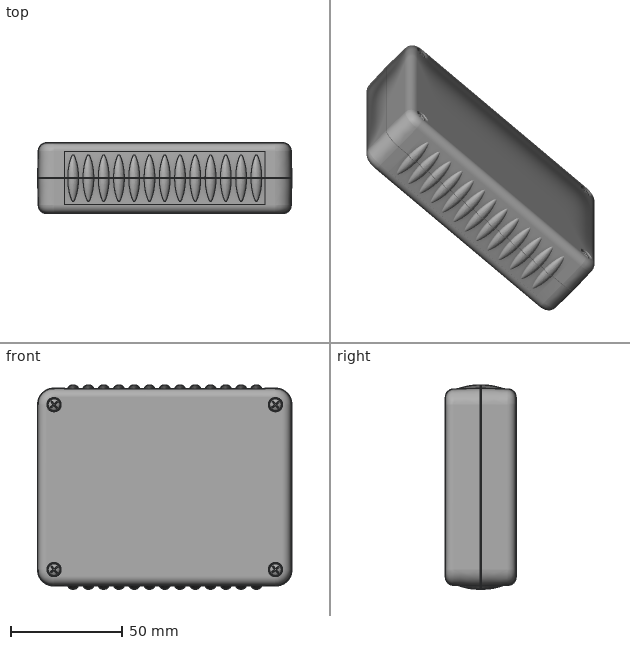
import cadquery as cq
import math

LENGTH = 114.6
HEIGHT = 89.2
DEPTH = 32.0
DRAFT = 1.5
CORNER_RADIUS = 7.5
EDGE_RADIUS = 3.9
PARTING_GAP = 0.2
SHELL_DEPTH = (DEPTH - PARTING_GAP) / 2

PANEL_LENGTH = 90.1
PANEL_DEPTH = 23.6
PANEL_SINK = 0.1

RIB_COUNT = 13
RIB_PITCH = 6.9
RIB_CREST = 46.1
RIB_RADIUS = 2.6
RIB_ARC_RADIUS = 29.8
RIB_AXIS = RIB_CREST - RIB_RADIUS
RIB_HALF_LENGTH = math.sqrt(RIB_ARC_RADIUS**2 - (RIB_ARC_RADIUS - RIB_RADIUS)**2)

SCREW_X = LENGTH / 2 - CORNER_RADIUS
SCREW_Z = HEIGHT / 2 - CORNER_RADIUS
SCREW_SPOTS = [(x, z) for x in (-SCREW_X, SCREW_X) for z in (-SCREW_Z, SCREW_Z)]
HOLE_RADIUS = 3.2
FLOOR_RADIUS = 2.8
HEAD_RADIUS = 2.6
HEAD_DOME = 0.9
HEAD_RIM = 0.5
HEAD_SINK = 0.1
SLOT_LENGTH = 3.9
SLOT_WIDTH = 0.6
SLOT_DEPTH = 0.9
SLOT_ANGLE = 40.0
HEAD_HEIGHT = HEAD_RIM + HEAD_DOME
HOLE_DEPTH = HEAD_SINK + HEAD_HEIGHT


def drafted_block(inset):
    """Half housing on the -Y side, with its four walls moved inward by inset."""
    outline = (
        cq.Sketch()
        .rect(LENGTH - 2 * inset, HEIGHT - 2 * inset)
        .vertices()
        .fillet(CORNER_RADIUS - inset)
    )
    return cq.Workplane("XZ").placeSketch(outline).extrude(SHELL_DEPTH, taper=DRAFT)


def grip_recess():
    """Material to remove so that both grip panels lie below the drafted walls."""
    field = cq.Workplane("XY").box(PANEL_LENGTH, PANEL_DEPTH, 2 * RIB_CREST)
    return field.cut(drafted_block(PANEL_SINK)).intersect(drafted_block(0))


def half_rib():
    """Half of a spindle along Y, from the parting face to its pointed end."""
    mid_y = RIB_HALF_LENGTH / 2
    mid_radius = RIB_RADIUS - RIB_ARC_RADIUS + math.sqrt(RIB_ARC_RADIUS**2 - mid_y**2)
    return (
        cq.Workplane("XY")
        .lineTo(RIB_RADIUS, 0)
        .threePointArc((mid_radius, -mid_y), (0, -RIB_HALF_LENGTH))
        .close()
        .revolve(360, (0, 0, 0), (0, 1, 0))
    )


def half_shell():
    """Half housing on the -Y side with rounded outer edges, panels and ribs."""
    shell = drafted_block(0).faces("<Y").edges().fillet(EDGE_RADIUS)
    shell = shell.cut(grip_recess())
    rib = half_rib()
    for i in range(RIB_COUNT):
        x = (i - (RIB_COUNT - 1) / 2) * RIB_PITCH
        for z in (-RIB_AXIS, RIB_AXIS):
            shell = shell.union(rib.translate((x, 0, z)))
    return shell


def screw_holes():
    """Conical holes in the front face, narrowing from the mouth to the floor."""
    draft = math.degrees(math.atan((HOLE_RADIUS - FLOOR_RADIUS) / HOLE_DEPTH))
    return (
        cq.Workplane("XZ", origin=(0, -SHELL_DEPTH, 0))
        .pushPoints(SCREW_SPOTS)
        .circle(HOLE_RADIUS)
        .extrude(-HOLE_DEPTH, taper=draft)
    )


def screw(x, z):
    """Domed screw head with a cross slot, its base on the floor of its hole."""
    dome_radius = (HEAD_RADIUS**2 + HEAD_DOME**2) / (2 * HEAD_DOME)
    mid_x = HEAD_RADIUS / 2
    mid_drop = dome_radius - math.sqrt(dome_radius**2 - mid_x**2)
    head = (
        cq.Workplane("XY")
        .lineTo(HEAD_RADIUS, 0)
        .lineTo(HEAD_RADIUS, -HEAD_RIM)
        .threePointArc((mid_x, mid_drop - HEAD_HEIGHT), (0, -HEAD_HEIGHT))
        .close()
        .revolve(360, (0, 0, 0), (0, 1, 0))
    )
    for angle in (SLOT_ANGLE, SLOT_ANGLE + 90):
        slot = (
            cq.Workplane("XZ", origin=(0, -HEAD_HEIGHT, 0))
            .transformed(rotate=(0, 0, angle))
            .rect(SLOT_LENGTH, SLOT_WIDTH)
            .extrude(-SLOT_DEPTH)
        )
        head = head.cut(slot)
    return head.translate((x, HOLE_DEPTH - SHELL_DEPTH, z))


front_offset = (0, -PARTING_GAP / 2, 0)
plain_shell = half_shell()
front_shell = plain_shell.cut(screw_holes()).translate(front_offset)
back_shell = plain_shell.translate(front_offset).mirror("XZ")
screws = [screw(x, z).translate(front_offset) for x, z in SCREW_SPOTS]

result = cq.Compound.makeCompound(
    [front_shell.val(), back_shell.val(), *[s.val() for s in screws]]
)